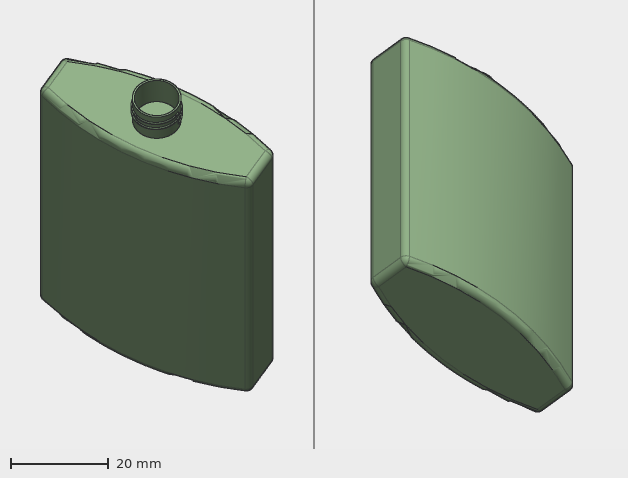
import cadquery as cq

width = 50.0
depth = 19.95
side_depth = 10.0
overall_height = 77.0
neck_height = 7.0
flask_height = overall_height - neck_height
edge_radius = 1.6

neck_diameter = 10.0
bore_diameter = 9.2

thread_pitch = 1.7
thread_turns = 2
thread_start_z = 71.9
bead_diameter = 0.55


def make_flask():
    """Bowed flask with rounded edges and an open neck on top."""
    body = (
        cq.Workplane("XY")
        .moveTo(-width / 2, -side_depth / 2)
        .threePointArc((0, -depth / 2), (width / 2, -side_depth / 2))
        .lineTo(width / 2, side_depth / 2)
        .threePointArc((0, depth / 2), (-width / 2, side_depth / 2))
        .close()
        .extrude(flask_height)
        .edges()
        .fillet(edge_radius)
    )
    neck = (
        cq.Workplane("XY", origin=(0, 0, flask_height))
        .circle(neck_diameter / 2)
        .circle(bore_diameter / 2)
        .extrude(neck_height)
    )
    return body.union(neck)


def make_thread():
    """Helical half-round ridge wound around the neck and seated on its surface."""
    neck_radius = neck_diameter / 2
    path = cq.Wire.makeHelix(
        thread_pitch,
        thread_pitch * thread_turns,
        neck_radius,
        center=cq.Vector(0, 0, thread_start_z),
    )
    bead = (
        cq.Workplane("XZ", origin=(neck_radius, 0, thread_start_z))
        .circle(bead_diameter / 2)
        .sweep(cq.Workplane(obj=path), isFrenet=True)
    )
    neck_core = cq.Workplane("XY").circle(neck_radius).extrude(overall_height)
    return bead.cut(neck_core)


flask = make_flask()
thread = make_thread()
result = cq.Compound.makeCompound([flask.val(), thread.val()])